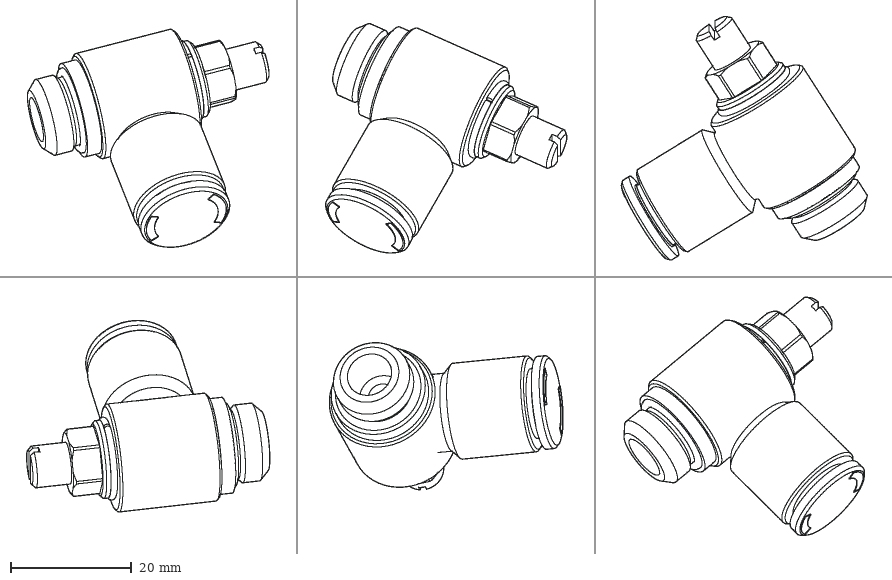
import cadquery as cq
import math


BARREL_D = 18.0
BARREL_LENGTH = 17.15
BARREL_CHAMFER = 0.4
BARREL_END = BARREL_LENGTH / 2

BRANCH_NECK_D = 13.0
SOCKET_D = 16.0
SOCKET_CONE_START = 9.4
SOCKET_END = 23.9
SOCKET_CHAMFER = 0.4
JUNCTION_FILLET = 0.3

RELEASE_NECK_D = 11.6
RELEASE_STEP_D = 11.95
RELEASE_STEP_START = 24.95
FLANGE_START = 25.25
FLANGE_END = 27.1
FLANGE_D = 15.5
FLANGE_CHAMFER = 0.5

MARK_HEIGHT = 0.1
MARK_INNER_R = 5.55
MARK_OUTER_R = 6.95
MARK_SHORT_ANGLE = 29
MARK_LONG_ANGLE = 47

SHANK_D = 11.95
THREAD_D = 13.0
BOLT_TIP = -17.35
TIP_CHAMFER = 1.5
UNDERCUT_D = 11.6
UNDERCUT_END = -12.25
SEAT_D = 16.0
SEAT_BOTTOM = -11.02
SHOULDER_BOTTOM = 9.68
SHOULDER_CHAMFER = 0.5
HEX_BOTTOM = 10.95
HEX_TOP = 15.75
HEX_ACROSS_FLATS = 10.0
HEX_CORNER_D = 11.25
HEX_FACE_D = 10.15
HEX_CHAMFER_DEPTH = 0.45
STEM_D = 7.0
STEM_TOP = 22.15
STEM_CHAMFER = 0.65
SLOT_WIDTH = 1.1
SLOT_DEPTH = 1.6

BORE_D = 7.5
BORE_END = -BARREL_END
ORIFICE_D = 4.5
ORIFICE_END = 0

SEAL_D = 14.55
SEAL_R = 0.75
SNAP_RING_D = 13.83
SNAP_RING_GAP = 0.55


def turned_on_y(points):
    """Solid of revolution about Y from (radius, y) points."""
    return cq.Workplane("XY").polyline(points).close().revolve(360, (0, 0, 0), (0, 1, 0))


def turned_on_x(points):
    """Solid of revolution about X from (x, radius) points."""
    return cq.Workplane("XY").polyline(points).close().revolve(360, (0, 0, 0), (1, 0, 0))


def cylinder_on_y(diameter, start, end):
    """Round bar along Y between two heights."""
    radius = diameter / 2
    return turned_on_y([(0, start), (radius, start), (radius, end), (0, end)])


def make_barrel():
    """Barrel with both rims chamfered."""
    barrel = cylinder_on_y(BARREL_D, -BARREL_END, BARREL_END)
    return barrel.faces("<Y or >Y").edges().chamfer(BARREL_CHAMFER)


def make_branch_neck():
    """Round neck that leaves the barrel and is blended into it."""
    neck = cq.Workplane("YZ").circle(BRANCH_NECK_D / 2).extrude(SOCKET_CONE_START)
    joined = make_barrel().union(neck)
    reach = BARREL_D / 2 + JUNCTION_FILLET
    junction = cq.selectors.BoxSelector(
        (BARREL_CHAMFER, -BRANCH_NECK_D / 4, -reach),
        (SOCKET_CONE_START - JUNCTION_FILLET, BRANCH_NECK_D / 4, reach),
    )
    return joined.edges(junction).fillet(JUNCTION_FILLET)


def make_socket():
    """Tube socket with its 45 degree cone, and the release collar beyond it."""
    neck_r = BRANCH_NECK_D / 2
    socket_r = SOCKET_D / 2
    flange_r = FLANGE_D / 2
    cone_end = SOCKET_CONE_START + socket_r - neck_r
    return turned_on_x([
        (SOCKET_CONE_START, 0),
        (SOCKET_CONE_START, neck_r),
        (cone_end, socket_r),
        (SOCKET_END - SOCKET_CHAMFER, socket_r),
        (SOCKET_END, socket_r - SOCKET_CHAMFER),
        (SOCKET_END, RELEASE_NECK_D / 2),
        (RELEASE_STEP_START, RELEASE_NECK_D / 2),
        (RELEASE_STEP_START, RELEASE_STEP_D / 2),
        (FLANGE_START, RELEASE_STEP_D / 2),
        (FLANGE_START, flange_r),
        (FLANGE_END - FLANGE_CHAMFER, flange_r),
        (FLANGE_END, flange_r - FLANGE_CHAMFER),
        (FLANGE_END, 0),
    ])


def make_mark(start_angle, end_angle):
    """Raised arc on the flange face, with angles counted from +Y toward +Z."""
    def at(radius, angle):
        turn = math.radians(angle)
        return (radius * math.cos(turn), radius * math.sin(turn))

    middle = (start_angle + end_angle) / 2
    return (
        cq.Workplane("YZ", origin=(FLANGE_END, 0, 0))
        .moveTo(*at(MARK_INNER_R, start_angle))
        .lineTo(*at(MARK_OUTER_R, start_angle))
        .threePointArc(at(MARK_OUTER_R, middle), at(MARK_OUTER_R, end_angle))
        .lineTo(*at(MARK_INNER_R, end_angle))
        .threePointArc(at(MARK_INNER_R, middle), at(MARK_INNER_R, start_angle))
        .close()
        .extrude(MARK_HEIGHT)
    )


def make_housing():
    """Swivel housing with its branch, bored to turn on the bolt shank."""
    housing = make_branch_neck().union(make_socket())
    housing = housing.union(make_mark(-MARK_SHORT_ANGLE, MARK_LONG_ANGLE))
    housing = housing.union(make_mark(180 - MARK_SHORT_ANGLE, 180 + MARK_SHORT_ANGLE))
    return housing.cut(cylinder_on_y(SHANK_D, -BARREL_END, BARREL_END))


def make_bolt_core():
    """Turned part of the bolt: threaded end, seat, shank and small shoulder."""
    thread_r = THREAD_D / 2
    undercut_r = UNDERCUT_D / 2
    return turned_on_y([
        (0, BOLT_TIP),
        (thread_r - TIP_CHAMFER, BOLT_TIP),
        (thread_r, BOLT_TIP + TIP_CHAMFER),
        (thread_r, UNDERCUT_END - (thread_r - undercut_r)),
        (undercut_r, UNDERCUT_END),
        (undercut_r, SEAT_BOTTOM),
        (SEAT_D / 2, SEAT_BOTTOM),
        (SEAT_D / 2, -BARREL_END),
        (SHANK_D / 2, -BARREL_END),
        (SHANK_D / 2, SHOULDER_BOTTOM),
        (thread_r, SHOULDER_BOTTOM),
        (thread_r, HEX_BOTTOM - SHOULDER_CHAMFER),
        (thread_r - SHOULDER_CHAMFER, HEX_BOTTOM),
        (0, HEX_BOTTOM),
    ])


def make_hexagon():
    """Hexagon with flats facing Z, trimmed corners and a chamfered top."""
    corner_r = HEX_CORNER_D / 2
    prism = (
        cq.Workplane("XZ", origin=(0, HEX_BOTTOM, 0))
        .polygon(6, HEX_ACROSS_FLATS, circumscribed=True)
        .extrude(HEX_BOTTOM - HEX_TOP)
        .rotate((0, 0, 0), (0, 1, 0), 90)
    )
    envelope = turned_on_y([
        (0, HEX_BOTTOM),
        (corner_r, HEX_BOTTOM),
        (corner_r, HEX_TOP - HEX_CHAMFER_DEPTH),
        (HEX_FACE_D / 2, HEX_TOP),
        (0, HEX_TOP),
    ])
    return prism.intersect(envelope)


def make_stem():
    """Adjusting stem with a chamfered end and a screwdriver slot along Z."""
    stem = cylinder_on_y(STEM_D, HEX_TOP, STEM_TOP).faces(">Y").edges().chamfer(STEM_CHAMFER)
    slot = cq.Workplane("XY").box(SLOT_WIDTH, 2 * SLOT_DEPTH, STEM_D).translate((0, STEM_TOP, 0))
    return stem.cut(slot)


def make_seal():
    """Half-round seal under the seat, seated in the undercut."""
    outer_r = SEAL_D / 2
    return (
        cq.Workplane("XY")
        .moveTo(outer_r, SEAT_BOTTOM)
        .threePointArc((outer_r - SEAL_R, SEAT_BOTTOM - SEAL_R), (outer_r - 2 * SEAL_R, SEAT_BOTTOM))
        .close()
        .revolve(360, (0, 0, 0), (0, 1, 0))
    )


def make_snap_ring():
    """Round-edged split ring between the barrel and the small shoulder."""
    inner_r = SHANK_D / 2
    outer_r = SNAP_RING_D / 2
    section_r = (SHOULDER_BOTTOM - BARREL_END) / 2
    middle = BARREL_END + section_r
    ring = (
        cq.Workplane("XY")
        .moveTo(inner_r, BARREL_END)
        .lineTo(outer_r - section_r, BARREL_END)
        .threePointArc((outer_r, middle), (outer_r - section_r, SHOULDER_BOTTOM))
        .lineTo(inner_r, SHOULDER_BOTTOM)
        .close()
        .revolve(360, (0, 0, 0), (0, 1, 0))
    )
    gap = cq.Workplane("XY").box(SNAP_RING_GAP, 2 * section_r, outer_r)
    return ring.cut(gap.translate((0, middle, outer_r)))


def make_bolt():
    """Hollow bolt with its hexagon, adjusting stem, seal and snap ring."""
    bolt = make_bolt_core()
    for feature in (make_hexagon(), make_stem(), make_seal(), make_snap_ring()):
        bolt = bolt.union(feature)
    bolt = bolt.cut(cylinder_on_y(BORE_D, BOLT_TIP, BORE_END))
    return bolt.cut(cylinder_on_y(ORIFICE_D, BORE_END, ORIFICE_END))


housing = make_housing()
bolt = make_bolt()

result = cq.Compound.makeCompound([housing.val(), bolt.val()])